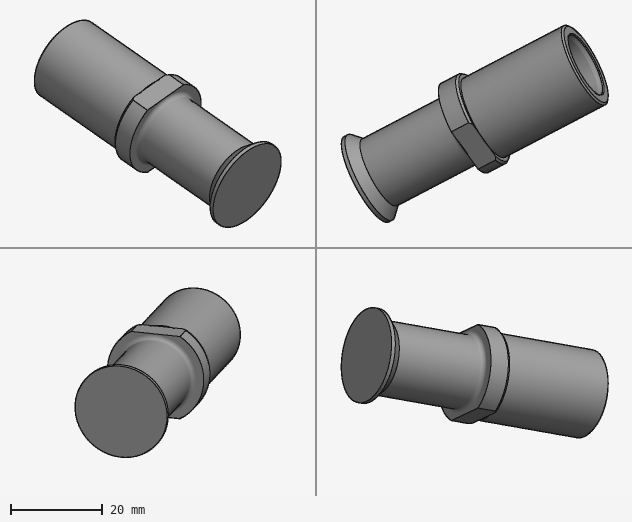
import cadquery as cq

total_length = 56.0
collar_start = 26.0
collar_length = 5.0
collar_end = collar_start + collar_length
flange_cone_start = 52.65
flange_rim_start = 55.05

body_radius = 9.75
collar_radius = 22.0 / 2
neck_radius = 8.25
flange_radius = 21.0 / 2

body_chamfer_length = 0.4
body_chamfer_height = 0.5
collar_chamfer_length = 0.55
collar_chamfer_height = 0.4
neck_fillet = 1.0
flats_width = 19.0

bore_radius = 7.1
bore_depth = 47.6
bore_cone_length = 4.1
mouth_radius = 7.5
mouth_chamfer_length = 0.3
lead_in_radius = 7.35
lead_in_end = 0.55
bore_start = 1.35


def revolve_about_x(profile):
    """Turn a closed profile of (x, radius) around the X axis."""
    return profile.close().revolve(360, (0, 0, 0), (1, 0, 0))


def make_spigot():
    """Plain round body with a chamfered open end."""
    return revolve_about_x(
        cq.Workplane("XY")
        .lineTo(0, body_radius - body_chamfer_height)
        .lineTo(body_chamfer_length, body_radius)
        .lineTo(collar_start, body_radius)
        .lineTo(collar_start, 0)
    )


def make_collar():
    """Chamfered round collar with two wrench flats facing +Z and -Z."""
    collar = revolve_about_x(
        cq.Workplane("XY")
        .moveTo(collar_start, 0)
        .lineTo(collar_start, collar_radius - collar_chamfer_height)
        .lineTo(collar_start + collar_chamfer_length, collar_radius)
        .lineTo(collar_end, collar_radius)
        .lineTo(collar_end, 0)
    )
    flats = cq.Workplane("XY").box(
        total_length, 2 * collar_radius, flats_width
    ).translate((total_length / 2, 0, 0))
    return collar.intersect(flats)


def make_neck():
    """Neck filleted into the collar and ending in a conical flange."""
    return revolve_about_x(
        cq.Workplane("XY")
        .moveTo(collar_end, 0)
        .lineTo(collar_end, neck_radius + neck_fillet)
        .radiusArc((collar_end + neck_fillet, neck_radius), -neck_fillet)
        .lineTo(flange_cone_start, neck_radius)
        .lineTo(flange_rim_start, flange_radius)
        .lineTo(total_length, flange_radius)
        .lineTo(total_length, 0)
    )


def make_bore():
    """Blind bore with a chamfered mouth, a short tapered lead-in and a drill-point bottom."""
    return revolve_about_x(
        cq.Workplane("XY")
        .lineTo(0, mouth_radius)
        .lineTo(mouth_chamfer_length, lead_in_radius)
        .lineTo(lead_in_end, lead_in_radius)
        .lineTo(bore_start, bore_radius)
        .lineTo(bore_depth, bore_radius)
        .lineTo(bore_depth + bore_cone_length, 0)
    )


result = make_spigot().union(make_collar()).union(make_neck()).cut(make_bore())